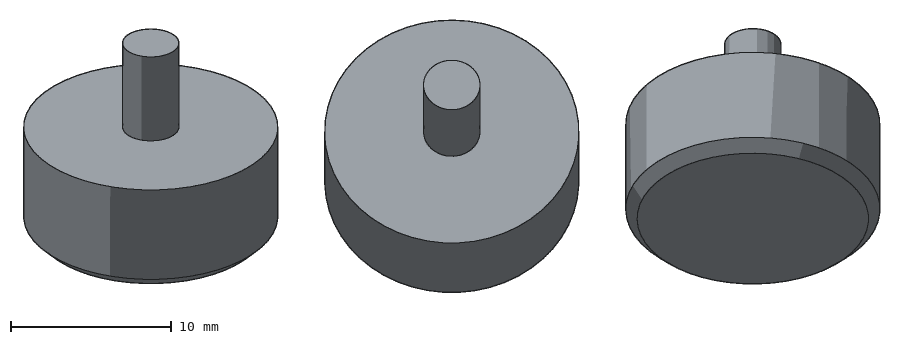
import cadquery as cq

head_diameter = 15.8
stem_diameter = 3.5
total_height = 15.3
stem_length = 6.0
cone_height = 2.18
chamfer_size = 0.71

head_radius = head_diameter / 2
stem_radius = stem_diameter / 2
cone_radius = head_radius - chamfer_size
chamfer_top = cone_height + chamfer_size
head_top = total_height - stem_length

half_section = (
    cq.Workplane("XZ")
    .moveTo(0, 0)
    .lineTo(cone_radius, cone_height)
    .lineTo(head_radius, chamfer_top)
    .lineTo(head_radius, head_top)
    .lineTo(stem_radius, head_top)
    .lineTo(stem_radius, total_height)
    .lineTo(0, total_height)
    .close()
)

result = half_section.revolve(360, (0, 0, 0), (0, 1, 0))